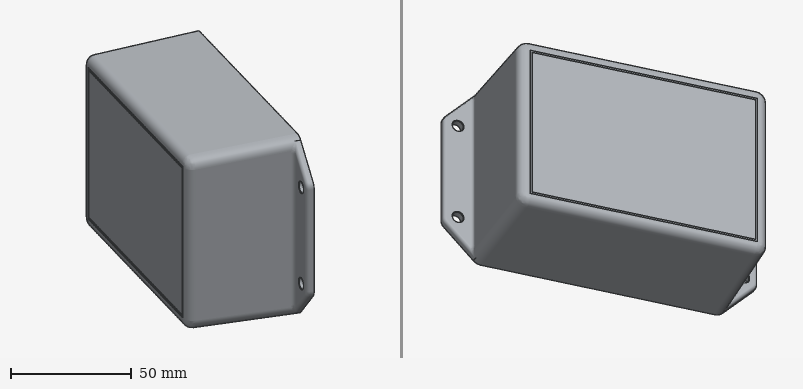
import cadquery as cq
import math

overall_length = 140.1
body_height = 82.1
depth = 51.0

body_length = 114.0
side_taper = 1.5
corner_radius = 4.9
face_radius = 4.0

tab_thickness = 3.4
tab_corner_radius = 3.9
tab_edge_radius = 1.5
root_radius = 1.5

hole_diameter = 4.8
hole_chamfer = 0.3
hole_chamfer_angle = 90.0
hole_spacing_x = 127.5
hole_spacing_z = 44.3

groove_width = 0.8
groove_depth = 0.3
groove_margin = 0.7

draft_angle = math.degrees(math.atan(side_taper / depth))
face_length = body_length - 2 * side_taper
face_height = body_height - 2 * side_taper


def make_body():
    """Drafted block with rounded corners and a rounded front face."""
    block = cq.Workplane("XZ").rect(body_length, body_height).extrude(depth, taper=draft_angle)
    block = block.edges("not(|X or |Z)").fillet(corner_radius)
    return block.faces("<Y").edges().fillet(face_radius)


def make_tab():
    """Tab at the -X end; its 45 degree sides run tangent into the rounded body corners."""
    corner_center_x = body_length / 2 - corner_radius
    corner_center_z = body_height / 2 - corner_radius
    tangent_x = corner_center_x + corner_radius * math.sin(math.pi / 4)
    tangent_z = corner_center_z + corner_radius * math.sin(math.pi / 4)
    end_x = overall_length / 2
    end_z = tangent_z - (end_x - tangent_x)
    outline = [
        (-corner_center_x, -tangent_z),
        (-tangent_x, -tangent_z),
        (-end_x, -end_z),
        (-end_x, end_z),
        (-tangent_x, tangent_z),
        (-corner_center_x, tangent_z),
    ]
    tab = cq.Workplane("XZ").polyline(outline).close().extrude(tab_thickness)
    tab = tab.edges("|Y and <X").fillet(tab_corner_radius)
    return tab.edges("<X and <Y").fillet(tab_edge_radius)


def add_root_fillet(part):
    """Round the inside corner where each tab meets the end wall of the body."""
    wall_x = body_length / 2 - side_taper * tab_thickness / depth
    for side in (-1, 1):
        root = cq.selectors.NearestToPointSelector((side * wall_x, -tab_thickness, 0))
        part = part.edges(root).fillet(root_radius)
    return part


def cut_holes(part):
    """Through holes in the tabs, each with a small chamfer on the outer tab surface."""
    tab_surface = cq.Workplane("XZ", origin=(0, -tab_thickness, 0))
    return (
        part.copyWorkplane(tab_surface)
        .rect(hole_spacing_x, hole_spacing_z, forConstruction=True)
        .vertices()
        .cskHole(hole_diameter, hole_diameter + 2 * hole_chamfer, hole_chamfer_angle, depth=tab_thickness)
    )


def cut_face_groove(part):
    """Narrow rectangular frame cut just inside the rounded border of the face."""
    outer_length = face_length - 2 * (face_radius + groove_margin)
    outer_height = face_height - 2 * (face_radius + groove_margin)
    groove = (
        cq.Workplane("XZ", origin=(0, groove_depth - depth, 0))
        .rect(outer_length, outer_height)
        .rect(outer_length - 2 * groove_width, outer_height - 2 * groove_width)
        .extrude(groove_depth)
    )
    return part.cut(groove)


tab = make_tab()
result = make_body().union(tab).union(tab.mirror("YZ"))
result = add_root_fillet(result)
result = cut_holes(result)
result = cut_face_groove(result)